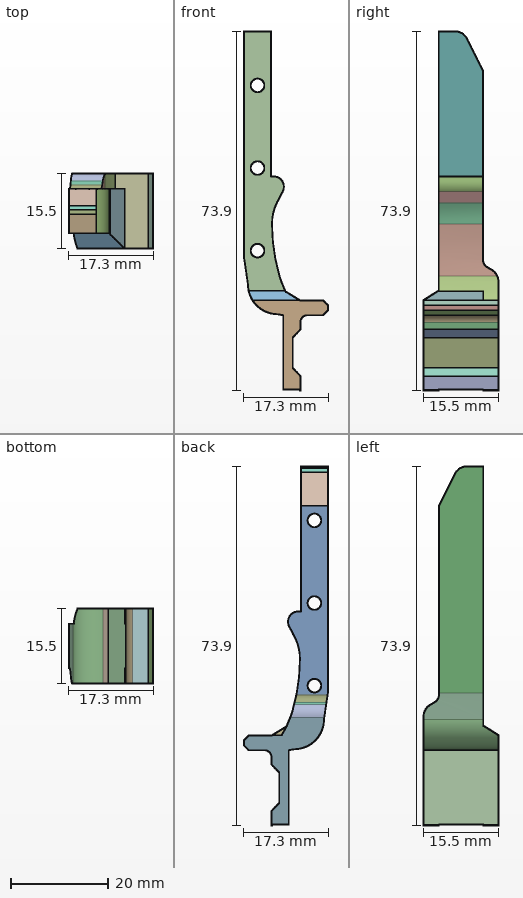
import cadquery as cq
import math

depth = 15.5
height = 73.9
shelf_end = 17.3

shelf_top = 18.6
shelf_thickness = 3.1
shelf_bottom = shelf_top - shelf_thickness
shelf_nose_chamfer = 1.0

leg_outer = 8.05
leg_thickness = 3.6
leg_inner = leg_outer + leg_thickness
leg_fillet = 1.4
lip_height = 0.2
lip_thickness = 0.15
recess_depth = 1.6
recess_chamfer_height = 1.7
recess_low = 3.0
recess_high = 12.6

heel_radius = 6.2
heel_center_x = 7.0
heel_center_z = 21.9
post_straight_bottom = 27.3
post_bend_mid = (0.45, 24.4)

post_width = 5.6
post_front = 3.15
post_back = 12.3
post_slope_rise = 8.1
post_slope_end = (8.85, height - 1.2)
post_facet_edge = (8.0, height - 0.35)
post_flat_end_y = 7.1

bump_center_x = 6.1
bump_center_z = 41.95
bump_radius = 2.15
bump_exit_angle = math.radians(26)
waist_x = 5.8
waist_z = 34.3
waist_upper_radius = 10.0
waist_lower_radius = 38.0
waist_lower_end_z = 23.6
web_foot_x = 9.55

shoulder_slope = math.radians(60)
shoulder_hollow_radius = 1.8
shoulder_round_radius = 3.0
shoulder_hollow_top = 26.95

flare_top = 20.6
flare_top_x = 8.3
flare_foot_x = 11.5

hole_diameter = 2.75
hole_x = post_width / 2
hole_first_z = 28.8
hole_pitch = 17.0
hole_count = 3


def heel_x(z):
    """X of the heel's outer surface at height z."""
    return heel_center_x - math.sqrt(heel_radius**2 - (z - heel_center_z) ** 2)


def on_circle(center_a, center_b, radius, angle):
    """Point on a circle, at an angle measured from the first axis."""
    return (center_a + radius * math.cos(angle), center_b + radius * math.sin(angle))


def tangent_arc_mid(start, end, start_lean):
    """Middle of a descending arc that leaves its start leaning out of the vertical by start_lean."""
    run = end[0] - start[0]
    drop = start[1] - end[1]
    chord_lean = math.atan2(run, drop)
    sagitta = math.hypot(run, drop) / 2 * math.tan((chord_lean - start_lean) / 2)
    mid_x = (start[0] + end[0]) / 2 - sagitta * math.cos(chord_lean)
    mid_z = (start[1] + end[1]) / 2 - sagitta * math.sin(chord_lean)
    return (mid_x, mid_z)


def extrude_front(sketch):
    """Extrude an XZ outline from the front to the back of the part."""
    return sketch.close().extrude(-depth)


def side_profile():
    """Leg, shelf, heel and post, as one XZ outline extruded over the full depth."""
    recess_x = leg_inner - recess_depth
    bump_top = (post_width, bump_center_z + math.sqrt(bump_radius**2 - (bump_center_x - post_width) ** 2))
    bump_right = on_circle(bump_center_x, bump_center_z, bump_radius, 0)
    bump_exit = on_circle(bump_center_x, bump_center_z, bump_radius, -bump_exit_angle)
    waist_upper_x = waist_x + waist_upper_radius
    waist_start = on_circle(waist_upper_x, waist_z, waist_upper_radius, math.pi - bump_exit_angle)
    waist_upper_mid = on_circle(waist_upper_x, waist_z, waist_upper_radius, math.pi - bump_exit_angle / 2)
    waist_lower_x = waist_x + waist_lower_radius
    waist_lower_angle = math.asin((waist_z - waist_lower_end_z) / waist_lower_radius)
    waist_lower_end = on_circle(waist_lower_x, waist_z, waist_lower_radius, math.pi + waist_lower_angle)
    waist_lower_mid = on_circle(waist_lower_x, waist_z, waist_lower_radius, math.pi + waist_lower_angle / 2)
    web_foot = (web_foot_x, shelf_top)
    web_foot_mid = tangent_arc_mid(waist_lower_end, web_foot, waist_lower_angle)
    heel_mid_angle = math.radians(225)
    return extrude_front(
        cq.Workplane("XZ")
        .moveTo(leg_outer, lip_height)
        .lineTo(leg_inner, lip_height)
        .lineTo(leg_inner, recess_low)
        .lineTo(recess_x, recess_low + recess_chamfer_height)
        .lineTo(recess_x, recess_high - recess_chamfer_height)
        .lineTo(leg_inner, recess_high)
        .lineTo(leg_inner, shelf_bottom - leg_fillet)
        .tangentArcPoint((leg_inner + leg_fillet, shelf_bottom), relative=False)
        .lineTo(shelf_end - shelf_nose_chamfer, shelf_bottom)
        .lineTo(shelf_end, shelf_bottom + shelf_nose_chamfer)
        .lineTo(shelf_end, shelf_top - shelf_nose_chamfer)
        .lineTo(shelf_end - shelf_nose_chamfer, shelf_top)
        .lineTo(*web_foot)
        .threePointArc(web_foot_mid, waist_lower_end)
        .threePointArc(waist_lower_mid, (waist_x, waist_z))
        .threePointArc(waist_upper_mid, waist_start)
        .lineTo(*bump_exit)
        .threePointArc(bump_right, bump_top)
        .lineTo(post_width, height)
        .lineTo(0, height)
        .lineTo(0, post_straight_bottom)
        .threePointArc(post_bend_mid, (heel_x(heel_center_z), heel_center_z))
        .threePointArc(
            on_circle(heel_center_x, heel_center_z, heel_radius, heel_mid_angle),
            (heel_center_x, heel_center_z - heel_radius),
        )
        .lineTo(leg_outer, shelf_bottom)
    )


def depth_envelope():
    """YZ outline that bounds the post, its shoulder and the shelf, extruded along X."""
    hollow_top = (post_back, shoulder_hollow_top)
    hollow_x = post_back + shoulder_hollow_radius
    hollow_mid = on_circle(
        hollow_x, shoulder_hollow_top, shoulder_hollow_radius, math.pi + shoulder_slope / 2
    )
    hollow_end = on_circle(hollow_x, shoulder_hollow_top, shoulder_hollow_radius, math.pi + shoulder_slope)
    round_y = depth - shoulder_round_radius
    round_start_y = round_y + shoulder_round_radius * math.cos(shoulder_slope)
    slope_drop = (round_start_y - hollow_end[0]) / math.tan(shoulder_slope)
    round_z = hollow_end[1] - slope_drop - shoulder_round_radius * math.sin(shoulder_slope)
    return (
        cq.Workplane("YZ")
        .moveTo(0, 0)
        .lineTo(depth, 0)
        .lineTo(depth, round_z)
        .threePointArc(
            on_circle(round_y, round_z, shoulder_round_radius, shoulder_slope / 2),
            on_circle(round_y, round_z, shoulder_round_radius, shoulder_slope),
        )
        .lineTo(*hollow_end)
        .threePointArc(hollow_mid, hollow_top)
        .lineTo(post_back, height - post_slope_rise)
        .lineTo(*post_slope_end)
        .lineTo(*post_facet_edge)
        .lineTo(post_flat_end_y, height)
        .lineTo(post_front, height)
        .lineTo(post_front, shelf_top)
        .lineTo(0, shelf_top)
        .close()
        .extrude(shelf_end)
    )


def flare():
    """Foot of the post, sloping out to the front and to the right onto the shelf."""
    flare_mid_z = (shelf_top + flare_top) / 2
    right_slope = extrude_front(
        cq.Workplane("XZ")
        .moveTo(heel_x(shelf_top), shelf_top)
        .lineTo(flare_foot_x, shelf_top)
        .lineTo(flare_top_x, flare_top)
        .lineTo(heel_x(flare_top), flare_top)
        .threePointArc((heel_x(flare_mid_z), flare_mid_z), (heel_x(shelf_top), shelf_top))
    )
    front_slope = (
        cq.Workplane("YZ")
        .moveTo(0, shelf_top)
        .lineTo(post_back, shelf_top)
        .lineTo(post_back, flare_top)
        .lineTo(post_front, flare_top)
        .close()
        .extrude(shelf_end)
    )
    return right_slope.intersect(front_slope)


def foot_lips():
    """Thin lips under the leg's inner edge, in front of and behind the width of the post."""
    lips = cq.Workplane("XY")
    for lip_start, lip_end in [(0, post_front), (post_back, depth)]:
        lip = cq.Workplane("XY").box(lip_thickness, lip_end - lip_start, lip_height, centered=False)
        lips = lips.add(lip.translate((leg_inner - lip_thickness, lip_start, 0)))
    return lips.combine()


def cross_holes():
    """Row of round holes running front to back through the post."""
    centers = [(hole_x, hole_first_z + i * hole_pitch) for i in range(hole_count)]
    return cq.Workplane("XZ").pushPoints(centers).circle(hole_diameter / 2).extrude(-depth)


body = side_profile().intersect(depth_envelope())
result = body.union(flare()).union(foot_lips()).cut(cross_holes())